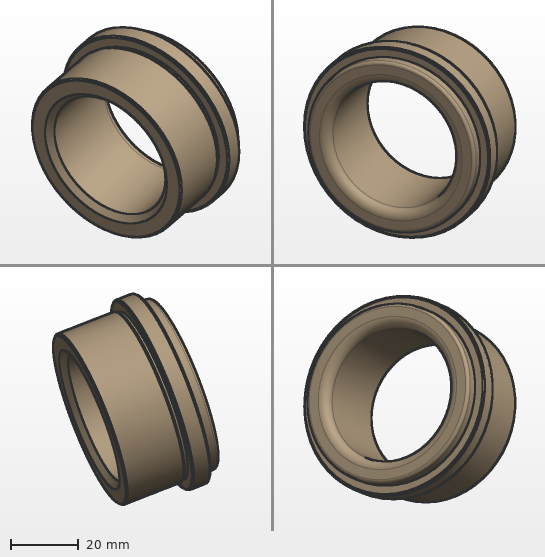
import cadquery as cq

length = 30.0
flange_radius = 30.0
body_radius = 27.0
bore_radius = 20.0
flange_start = 20.0
flange_width = 6.0

groove_floor_width = 1.0
groove_depth = 0.5

edge_chamfer = 0.5
bore_chamfer = 2.0
bore_fillet = 3.0
rear_fillet = 1.0

flange_end = flange_start + flange_width
groove_radius = body_radius - groove_depth
body_end = flange_start - groove_floor_width


def cylinder(radius, start, end):
    """Solid cylinder around the Y axis from Y = start to Y = end."""
    return cq.Workplane("XZ", origin=(0, start, 0)).circle(radius).extrude(start - end)


def make_body():
    """Front sleeve; its rear chamfer forms the sloped wall of the groove."""
    body = cylinder(body_radius, 0, body_end)
    return body.edges("<Y").chamfer(edge_chamfer).edges(">Y").chamfer(groove_depth)


def make_groove_floor():
    return cylinder(groove_radius, body_end, flange_start)


def make_flange():
    return cylinder(flange_radius, flange_start, flange_end).edges().chamfer(edge_chamfer)


def make_rear_collar():
    """Short collar behind the flange with a rounded rear edge."""
    return cylinder(body_radius, flange_end, length).edges(">Y").fillet(rear_fillet)


def cut_bore(ring):
    """Through bore with a chamfered front mouth and a rounded rear mouth."""
    ring = ring.cut(cylinder(bore_radius, 0, length))
    ring = ring.faces("<Y").edges(cq.selectors.RadiusNthSelector(0)).chamfer(bore_chamfer)
    return ring.faces(">Y").edges(cq.selectors.RadiusNthSelector(0)).fillet(bore_fillet)


solid_ring = make_body().union(make_groove_floor()).union(make_flange()).union(make_rear_collar())
result = cut_bore(solid_ring)